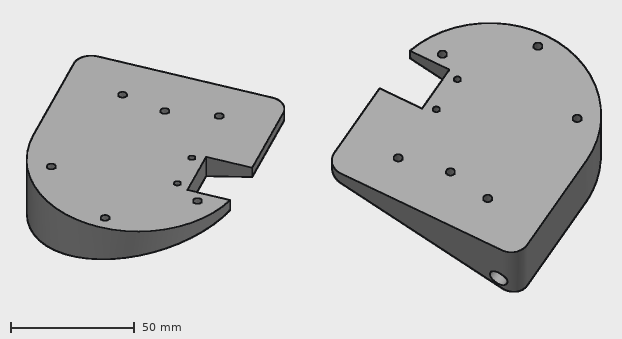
import cadquery as cq
import math

nose_radius = 45.0
width = 2 * nose_radius
length = 99.95
corner_radius = 7.5
back_y = length - nose_radius

thin_edge = 5.0
slope_angle = 15.0
thick_edge = thin_edge + width * math.tan(math.radians(slope_angle))

notch_inner_x = 25.2
notch_width = 22.0

mount_diameter = 3.6
side_mount_x = 31.4
side_mount_y = -16.1
mount_points = [
    (-side_mount_x, side_mount_y),
    (side_mount_x, side_mount_y),
    (0, -38.8),
    (-19.8, 35.9),
    (-0.3, 32.2),
    (21.4, 36.8),
]
notch_hole_diameter = 2.8
notch_hole_x = 20.0
notch_hole_spacing = 17.0
notch_hole_points = [
    (notch_hole_x, -notch_hole_spacing / 2),
    (notch_hole_x, notch_hole_spacing / 2),
]

back_hole_diameter = 8.0
back_hole_from_side = 9.1
back_hole_below_top = 21.1
back_hole_depth = 10.0


def make_block():
    """Full-height block with the plan outline."""
    return (
        cq.Workplane("XY")
        .workplane(offset=-thick_edge)
        .moveTo(-nose_radius, 0)
        .threePointArc((0, -nose_radius), (nose_radius, 0))
        .lineTo(nose_radius, back_y)
        .lineTo(-nose_radius, back_y)
        .close()
        .extrude(thick_edge)
        .edges("|Z and >Y")
        .fillet(corner_radius)
    )


def make_wedge():
    """Sloped profile that sets the thickness across X."""
    return (
        cq.Workplane("XZ", origin=(0, back_y, 0))
        .polyline([
            (-nose_radius, 0),
            (nose_radius, 0),
            (nose_radius, -thin_edge),
            (-nose_radius, -thick_edge),
        ])
        .close()
        .extrude(length)
    )


def make_notch():
    """Cutter for the notch, open at the +X side."""
    return (
        cq.Workplane("XY")
        .moveTo(notch_inner_x, -notch_width / 2)
        .lineTo(nose_radius, -notch_width / 2)
        .lineTo(nose_radius, notch_width / 2)
        .lineTo(notch_inner_x, notch_width / 2)
        .close()
        .extrude(-thick_edge)
    )


def make_holes(points, diameter):
    """Cutters for vertical through holes."""
    return cq.Workplane("XY").pushPoints(points).circle(diameter / 2).extrude(-thick_edge)


def make_back_hole():
    """Cutter running from the back wall towards -Y."""
    return (
        cq.Workplane("XZ", origin=(0, back_y, 0))
        .center(-nose_radius + back_hole_from_side, -back_hole_below_top)
        .circle(back_hole_diameter / 2)
        .extrude(back_hole_depth)
    )


result = (
    make_block()
    .intersect(make_wedge())
    .cut(make_notch())
    .cut(make_holes(mount_points, mount_diameter))
    .cut(make_holes(notch_hole_points, notch_hole_diameter))
    .cut(make_back_hole())
)